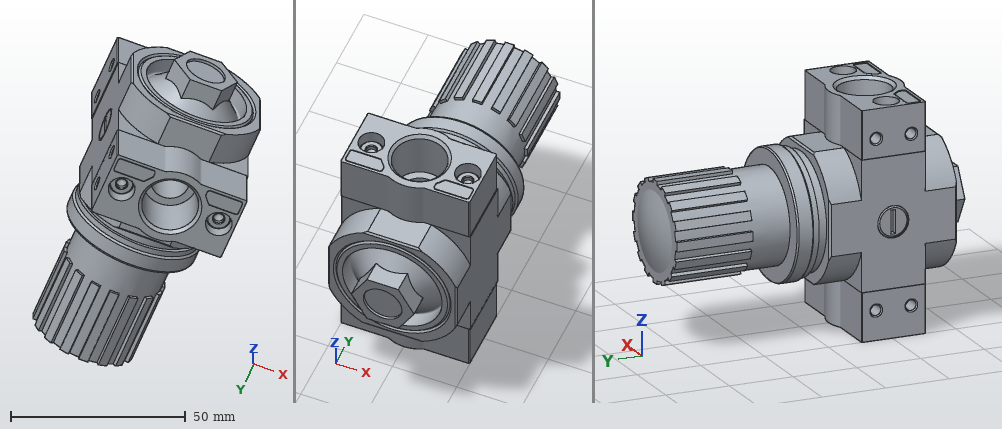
import cadquery as cq
import math


BODY_SIZE = 40.1
BODY_HALF = BODY_SIZE / 2
BLOCK_LENGTH = 20.0
FLAT_WIDTH = 15.8
BARREL_RADIUS = math.hypot(BODY_HALF, FLAT_WIDTH / 2)
BODY_CHAMFER = 0.6

NECK_DIAMETER = 36.2
STEP_DIAMETER = 38.5
COLLAR_DIAMETER = 39.8
STEP_START = 22.9
COLLAR_START = 24.6
COLLAR_END = 30.0
COLLAR_CHAMFER = 0.6
COLLAR_TOP_INSET = 0.3

KNOB_BASE_DIAMETER = 29.45
KNOB_CORE_DIAMETER = 29.1
KNOB_RIB_DIAMETER = 31.2
RIB_START = 42.1
KNOB_RIM = 65.8
KNOB_TOP = 67.9
DOME_DIAMETER = 24.1
RIB_COUNT = 16
RIB_WIDTH = 2.85

CAP_DIAMETER = 35.5
CAP_CHAMFER = 0.6
CAP_BOTTOM = -BODY_HALF
CAP_BACK = -12.35
BOWL_DIAMETER = 31.0
BOWL_FLOOR = -14.6
BOWL_FILLET = 0.5
CONE_TOP = -23.75
CONE_TOP_DIAMETER = 12.7
HEX_FLATS = 16.9
HEX_END = -27.1
HEX_RECESS_DIAMETER = 12.0
HEX_RECESS_DEPTH = 0.9

FLANGE_SPAN = 70.0
FLANGE_OUTER = FLANGE_SPAN / 2
FLANGE_WIDTH = 40.1
FLANGE_SHIFT = -0.3
FLANGE_CHAMFER = 0.3
BOSS_DIAMETER = 22.8
BOSS_FILLET = 1.4
PORT_DIAMETER = 16.2
PORT_INNER_DIAMETER = 15.7
PORT_MOUTH_DIAMETER = 18.1
BORE_DIAMETER = 11.0

SCREW_OFFSET = 15.0
COUNTERBORE_DIAMETER = 7.6
HEAD_DIAMETER = 7.0
HEAD_CHAMFER = 0.4
HEAD_TOP = FLANGE_OUTER - 3.1
HEAD_HEIGHT = 4.0
SHANK_DIAMETER = 4.0
SHANK_DEPTH = 7.6
SOCKET_DIAMETER = 3.0
SOCKET_MOUTH_DIAMETER = 3.6
SOCKET_DEPTH = 1.4

SIDE_HOLE_DIAMETER = 3.2
SIDE_HOLE_MOUTH = 4.0
SIDE_HOLE_DEPTH = 5.7
SIDE_HOLE_Y = 5.5
SIDE_HOLE_Z = 25.9
DRILL_POINT_ANGLE = 118

LABEL_MARGIN = 0.9
LABEL_TOP_INNER = 10.1
LABEL_BOTTOM_INNER = 8.1
LABEL_TOP = -4.7
LABEL_SLANT_END = -7.0
LABEL_BOTTOM = -9.0
LABEL_DEPTH = 0.3
LABEL_FILLET = 0.8

PLUG_DIAMETER = 9.7
PLUG_FACE_DIAMETER = 8.55
PLUG_LENGTH = 5.7
SLOT_WIDTH = 1.4
SLOT_LENGTH = 7.2
SLOT_DEPTH = 1.9


def turned_about_y(points):
    """Solid of revolution about Y from a closed outline of (radius, y) points."""
    return cq.Workplane("XY").polyline(points).close().revolve(360, (0, 0, 0), (0, 1, 0))


def disc_along_z(diameter, bottom, top):
    return cq.Workplane("XY").workplane(offset=bottom).circle(diameter / 2).extrude(top - bottom)


def drilled_tool(diameter, depth):
    """Blind hole with a drill point, starting at the origin and running along -Z."""
    radius = diameter / 2
    point = radius / math.tan(math.radians(DRILL_POINT_ANGLE / 2))
    outline = [(0, 0), (radius, 0), (radius, -depth), (0, -depth - point)]
    return cq.Workplane("XZ").polyline(outline).close().revolve(360, (0, 0, 0), (0, 1, 0))


def tapered_mouth(mouth_diameter, hole_diameter):
    """Countersink at 45 degrees, starting at the origin and running along -Z."""
    depth = (mouth_diameter - hole_diameter) / 2
    outline = [(0, 0), (mouth_diameter / 2, 0), (hole_diameter / 2, -depth), (0, -depth)]
    return cq.Workplane("XZ").polyline(outline).close().revolve(360, (0, 0, 0), (0, 1, 0))


def opposite(shape):
    """The same feature on the -Z side."""
    return shape.mirror("XY")



def make_plug_seat():
    return cq.Workplane("YZ").workplane(offset=-BODY_HALF).circle(PLUG_DIAMETER / 2).extrude(PLUG_LENGTH)


def make_plug():
    chamfer = (PLUG_DIAMETER - PLUG_FACE_DIAMETER) / 2
    slot = cq.Workplane("XY").box(2 * SLOT_DEPTH, SLOT_WIDTH, SLOT_LENGTH).translate((-BODY_HALF, 0, 0))
    return make_plug_seat().faces("<X").chamfer(chamfer).cut(slot)



def make_screw(x):
    head = disc_along_z(HEAD_DIAMETER, HEAD_TOP - HEAD_HEIGHT, HEAD_TOP).faces(">Z").chamfer(HEAD_CHAMFER)
    shank = disc_along_z(SHANK_DIAMETER, BODY_HALF - SHANK_DEPTH, HEAD_TOP - HEAD_HEIGHT)
    socket = drilled_tool(SOCKET_DIAMETER, SOCKET_DEPTH)
    socket = socket.union(tapered_mouth(SOCKET_MOUTH_DIAMETER, SOCKET_DIAMETER)).translate((0, 0, HEAD_TOP))
    return head.union(shank).cut(socket).translate((x, 0, 0))


def make_screw_hole(x):
    clearance = disc_along_z(COUNTERBORE_DIAMETER, HEAD_TOP - HEAD_HEIGHT, FLANGE_OUTER)
    shank_hole = disc_along_z(SHANK_DIAMETER, BODY_HALF - SHANK_DEPTH, FLANGE_OUTER)
    return clearance.union(shank_hole).translate((x, 0, 0))



def make_label(side):
    outer = FLANGE_SHIFT + side * (FLANGE_WIDTH / 2 - LABEL_MARGIN)
    outline = [
        (outer, LABEL_TOP),
        (side * LABEL_TOP_INNER, LABEL_TOP),
        (side * LABEL_BOTTOM_INNER, LABEL_SLANT_END),
        (side * LABEL_BOTTOM_INNER, LABEL_BOTTOM),
        (outer, LABEL_BOTTOM),
    ]
    return (
        cq.Workplane("XY")
        .workplane(offset=FLANGE_OUTER - LABEL_DEPTH)
        .polyline(outline)
        .close()
        .extrude(LABEL_DEPTH)
        .edges("|Z")
        .fillet(LABEL_FILLET)
    )


def make_side_hole(y):
    hole = drilled_tool(SIDE_HOLE_DIAMETER, SIDE_HOLE_DEPTH)
    hole = hole.union(tapered_mouth(SIDE_HOLE_MOUTH, SIDE_HOLE_DIAMETER))
    hole = hole.rotate((0, 0, 0), (0, 1, 0), -90)
    return hole.translate((FLANGE_SHIFT - FLANGE_WIDTH / 2, y, SIDE_HOLE_Z))


def make_port():
    port_radius = PORT_DIAMETER / 2
    mouth_radius = PORT_MOUTH_DIAMETER / 2
    mouth_depth = mouth_radius - port_radius
    outline = [
        (0, BODY_HALF),
        (PORT_INNER_DIAMETER / 2, BODY_HALF),
        (port_radius, FLANGE_OUTER - mouth_depth),
        (mouth_radius, FLANGE_OUTER),
        (0, FLANGE_OUTER),
    ]
    return cq.Workplane("XZ").polyline(outline).close().revolve(360, (0, 0, 0), (0, 1, 0))


def make_flange():
    thickness = FLANGE_OUTER - BODY_HALF
    plate = (
        cq.Workplane("XY")
        .box(FLANGE_WIDTH, BLOCK_LENGTH, thickness)
        .translate((FLANGE_SHIFT, 0, BODY_HALF + thickness / 2))
        .edges("|Z")
        .chamfer(FLANGE_CHAMFER)
    )
    flange = plate.union(disc_along_z(BOSS_DIAMETER, BODY_HALF, FLANGE_OUTER))
    corner_zone = cq.selectors.BoxSelector(
        (-PORT_INNER_DIAMETER / 2, -BOSS_DIAMETER, BODY_HALF),
        (PORT_INNER_DIAMETER / 2, BOSS_DIAMETER, FLANGE_OUTER),
    )
    flange = flange.edges("|Z").edges(corner_zone).fillet(BOSS_FILLET)

    flange = flange.cut(make_port())
    for side in (-1, 1):
        flange = flange.cut(make_screw_hole(side * SCREW_OFFSET))
        flange = flange.cut(make_label(side))
        flange = flange.cut(make_side_hole(side * SIDE_HOLE_Y))
    return flange



def make_cap():
    rim_radius = CAP_DIAMETER / 2
    bowl_radius = BOWL_DIAMETER / 2
    cap = turned_about_y([
        (0, CAP_BACK),
        (rim_radius, CAP_BACK),
        (rim_radius, CAP_BOTTOM + CAP_CHAMFER),
        (rim_radius - CAP_CHAMFER, CAP_BOTTOM),
        (bowl_radius, CAP_BOTTOM),
        (bowl_radius, BOWL_FLOOR),
        (CONE_TOP_DIAMETER / 2, CONE_TOP),
        (0, CONE_TOP),
    ])
    valley = cq.selectors.NearestToPointSelector((0, BOWL_FLOOR, 0))
    cap = cap.edges("%CIRCLE").edges(valley).fillet(BOWL_FILLET)

    hexagon = (
        cq.Workplane("XZ")
        .workplane(offset=-CAP_BACK)
        .polygon(6, HEX_FLATS / math.cos(math.pi / 6))
        .extrude(CAP_BACK - HEX_END)
    )
    recess = (
        cq.Workplane("XZ")
        .workplane(offset=-HEX_END)
        .circle(HEX_RECESS_DIAMETER / 2)
        .extrude(-HEX_RECESS_DEPTH)
    )
    return cap.union(hexagon).cut(recess)


def make_cap_seat():
    radius = CAP_DIAMETER / 2
    return turned_about_y([
        (0, CAP_BACK),
        (radius, CAP_BACK),
        (radius, CAP_BOTTOM + CAP_CHAMFER),
        (radius + CAP_CHAMFER, CAP_BOTTOM),
        (0, CAP_BOTTOM),
    ])



def make_bonnet():
    collar_radius = COLLAR_DIAMETER / 2
    return turned_about_y([
        (0, BODY_HALF),
        (NECK_DIAMETER / 2, BODY_HALF),
        (NECK_DIAMETER / 2, STEP_START),
        (STEP_DIAMETER / 2, STEP_START),
        (STEP_DIAMETER / 2, COLLAR_START),
        (collar_radius, COLLAR_START + COLLAR_CHAMFER),
        (collar_radius, COLLAR_END - COLLAR_CHAMFER),
        (collar_radius - COLLAR_TOP_INSET, COLLAR_END),
        (0, COLLAR_END),
    ])


def make_housing():
    cube = cq.Workplane("XY").box(BODY_SIZE, BODY_SIZE, BODY_SIZE)
    cube = cube.faces("<Y or >Y").chamfer(BODY_CHAMFER)
    barrel = cq.Workplane("XZ").circle(BARREL_RADIUS).extrude(BODY_HALF, both=True)
    block = cq.Workplane("XY").box(BODY_SIZE, BLOCK_LENGTH, BODY_SIZE)
    housing = barrel.intersect(cube).union(block).union(make_bonnet())

    housing = housing.cut(make_cap_seat()).cut(make_plug_seat())
    housing = housing.cut(disc_along_z(BORE_DIAMETER, -BODY_HALF, BODY_HALF))
    for side in (-1, 1):
        screw_hole = make_screw_hole(side * SCREW_OFFSET)
        housing = housing.cut(screw_hole).cut(opposite(screw_hole))
    return housing



def make_knob():
    core_radius = KNOB_CORE_DIAMETER / 2
    dome_radius = DOME_DIAMETER / 2
    dome_rise = KNOB_TOP - KNOB_RIM
    sphere_radius = (dome_radius ** 2 + dome_rise ** 2) / (2 * dome_rise)
    half_angle = math.asin(dome_radius / sphere_radius) / 2
    dome_middle = (
        sphere_radius * math.sin(half_angle),
        KNOB_TOP - sphere_radius * (1 - math.cos(half_angle)),
    )
    core = (
        cq.Workplane("XY")
        .moveTo(0, COLLAR_END)
        .lineTo(KNOB_BASE_DIAMETER / 2, COLLAR_END)
        .lineTo(core_radius, KNOB_RIM)
        .lineTo(dome_radius, KNOB_RIM)
        .threePointArc(dome_middle, (0, KNOB_TOP))
        .close()
        .revolve(360, (0, 0, 0), (0, 1, 0))
    )
    rib_length = KNOB_RIM - RIB_START
    rib_reach = KNOB_RIB_DIAMETER / 2
    rib_root = dome_radius
    rib = (
        cq.Workplane("XY")
        .box(rib_reach - rib_root, rib_length, RIB_WIDTH)
        .translate(((rib_reach + rib_root) / 2, RIB_START + rib_length / 2, 0))
    )
    knob = core
    for index in range(RIB_COUNT):
        knob = knob.union(rib.rotate((0, 0, 0), (0, 1, 0), index * 360 / RIB_COUNT))
    return knob



housing = make_housing()
cap = make_cap()
knob = make_knob()
plug = make_plug()
top_flange = make_flange()
bottom_flange = opposite(top_flange)

screws = []
for side in (-1, 1):
    top_screw = make_screw(side * SCREW_OFFSET)
    screws += [top_screw.val(), opposite(top_screw).val()]

result = cq.Compound.makeCompound([
    housing.val(),
    cap.val(),
    knob.val(),
    plug.val(),
    top_flange.val(),
    bottom_flange.val(),
    *screws,
])